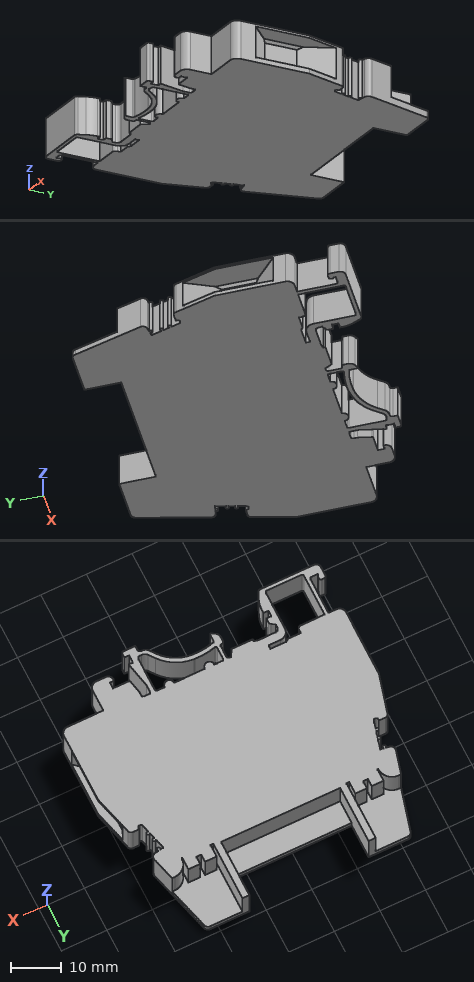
import cadquery as cq
import math

WIDTH = 61.5
LENGTH = 57.7
THICKNESS = 8.2
PLATE_THICKNESS = 1.5

HALF_WIDTH = WIDTH / 2
FLANK_SLOPE = math.tan(math.radians(15))

BODY_BOTTOM = 10.45
RIGHT_BOTTOM = 9.6
KNEE_Y = 26.35
SHOULDER_Y = 35.5
HEAD_BOTTOM = 41.1
HEAD_LIP_Y = 41.6
BODY_TOP = 45.05
STRIP_TOP = 50.2

BOTTOM_STEP_X = 14.0
BODY_CORNER_RADIUS = 1.5

WALL_INNER = 13.05
WALL_OUTER = 14.6
RECESS_BOTTOM = 44.7
TOOTH_TOP = 47.45
TOOTH_NOTCH_BOTTOM = 45.75
TOOTH_FACES = (15.2, 17.75, 18.8, 21.4)
HORN_FACE = 21.55
HORN_TOP = 47.75
HORN_RADIUS = 3.0
EAR_TOP_X = 22.45
EAR_RADIUS = 1.0
HEAD_LIP_RADIUS = 1.0

GROOVE_TOP_X = 23.75
GROOVE_BOTTOM_Y = 34.8
GROOVE_RADIUS = 0.3
SHOULDER_INNER_X = 26.25
SHOULDER_RADIUS = 0.8
BEAD_RADIUS = 0.35
BEAD_CENTRES = ((24.75, 41.0), (24.65, 38.8), (25.1, 37.05))

FOOT_ROOT = 12.8
POST_ROOT_RADIUS = 0.45
EDGE_RADIUS = 0.2

LEFT_POST_OUTER_X = -27.55
LEFT_HOOK_X = -30.55
LEFT_HOOK_TIP_X = -29.1
LEFT_HOOK_NECK_X = -29.3
LEFT_HOOK_TOP_Y = 3.5
LEFT_HOOK_SEAT_Y = 2.1
LEFT_HOOK_SEAT_RADIUS = 0.35
LEFT_HOOK_NECK_TOP_Y = 2.45
LEFT_HOOK_TIP_Y = 2.75
LEFT_HOOK_TIP_RADIUS = 0.4
LEFT_HOOK_BACK_RADIUS = 0.5
LEFT_HOOK_HEEL_RADIUS = 1.1
CATCH_FACE_X = -16.05
CATCH_GROOVE_X = -17.15
CATCH_GROOVE_Y = (4.85, 6.15)
CATCH_TOE_X = -17.3
CATCH_TOE_RADIUS = 0.7
CATCH_RAMP_TOP_Y = 3.0
CATCH_RAMP_RADIUS = 6.0
CATCH_NOSE_Y = 7.4
CATCH_NOSE_TOP_Y = 8.15
CATCH_NOSE_RADIUS = 0.6
PAD_ROOT_RADIUS = 0.8
PAD_LEFT_Y = 9.6
PAD_RIGHT_Y = 8.95
PAD_STEP_X = -11.7
PAD_STEP_TOP_Y = 9.35
PAD_BEND_X = -12.3
PAD_BEND_RADIUS = 2.0
PAD_RAMP_X = -7.0
PAD_END_X = -6.2
WINDOW_LEFT_X = -26.7
WINDOW_RIGHT_X = -18.4
WINDOW_FLOOR_Y = 0.85
WINDOW_CORNER_RADIUS = 0.3
SLOT_END_X = -13.9
SLOT_Y = (11.5, 12.35)
SLOT_WIDE_TOP_Y = 11.9
SLOT_WIDE_LEFT_X = -20.75
SLOT_TAPER_X = (-17.9, -17.35)
SLOT_BEND_RADIUS = 1.9
SLOT_MOUTH_RADIUS = 0.7

CLIP_LEFT_POST_X = (-5.4, -4.6)
CLIP_RIGHT_POST_X = (10.35, 11.4)
CLIP_ROOT_X = (-6.0, 12.3)
CLIP_FOOT_X = (9.65, 12.7)
CLIP_FOOT_GROOVE_X = 11.65
ARCH_FOOT_Y = 1.5
CLIP_FOOT_GROOVE_Y = (1.3, 3.0)
CLIP_FOOT_ROOT_RADIUS = 0.5
CLIP_TOE_RADIUS = 0.45
CLIP_RIGHT_FACE_X = 12.6
CLIP_TAPER_TOP_Y = 8.5
CLIP_WINDOW_BOTTOM_Y = 2.4
CLIP_WINDOW_BOTTOM_RADIUS = 0.4
LOBE_LEFT_X = -6.27
LOBE_SHOULDER_Y = 7.3
LOBE_TOP_Y = 7.0
LOBE_TOP_RADIUS = 0.3
LOBE_BELLY_Y = 5.0
LOBE_BELLY_RADIUS = 1.3
LOBE_TIP_X = -4.75
LOBE_TIP_Y = 4.15
LOBE_TIP_FACE_Y = 4.4
ARCH_LEFT_X = -1.9
ARCH_LEFT_RADIUS = 14.0
ARCH_INNER_RADIUS = 8.4
ARCH_OUTER_RADIUS = 9.2
ARCH_START_RADIUS = 0.3
ARCH_INNER_START_Y = 6.07
ARCH_INNER_LEFT_Y = 6.8
ARCH_INNER_CROWN = (4.32, 6.36)
ARCH_INNER_FOOT_X = 8.1
ARCH_INNER_FOOT_RADIUS = 1.6
ARCH_OUTER_START_Y = 7.1
ARCH_OUTER_LEFT_Y = 7.83
ARCH_OUTER_CROWN = (4.78, 7.37)
ARCH_OUTER_FOOT = (8.75, 2.2)
ARCH_OUTER_FOOT_RADIUS = 1.3
BUMP_XS = (-1.5, 7.3)
BUMP_RADIUS = 1.05

HOOK_ROOT_X = 12.7
HOOK_LEFT_X = 13.3
HOOK_TAPER_TOP_Y = 9.2
HOOK_TAPER_BOTTOM_X = 13.95
HOOK_SEAT_RADIUS = 0.3
HOOK_RIGHT_X = 21.4
HOOK_BOTTOM_Y = 3.4
HOOK_LIP_TOP_Y = 4.85
HOOK_LIP_X = 16.65
HOOK_SEAT_X = 17.6
HOOK_SEAT_Y = 6.2
HOOK_LIP_RADIUS = 1.2
HOOK_HEEL_RADIUS = 1.5

FUNNEL_MOUTH_Y = (14.45, 33.4)
FUNNEL_FLOOR_Y = (19.2, KNEE_Y)
FUNNEL_MOUTH_Z = (1.05, 7.65)
FUNNEL_FLOOR_Z = (2.75, 7.0)
FUNNEL_FLOOR_X = 25.7
FUNNEL_RAMP_X = 28.0
FUNNEL_ROOF_X = 26.2


def rounded_outline(corners, height=THICKNESS):
    """Extrude an outline of (x, y) or rounded (x, y, radius) corners up from Z = 0."""
    stretches = []
    count = len(corners)
    for i, corner in enumerate(corners):
        here = cq.Vector(corner[0], corner[1])
        if len(corner) == 2:
            stretches.append((here,))
            continue
        radius = corner[2]
        before = cq.Vector(*corners[i - 1][:2])
        after = cq.Vector(*corners[(i + 1) % count][:2])
        to_before = (before - here).normalized()
        to_after = (after - here).normalized()
        half_angle = to_before.getAngle(to_after) / 2
        tangent_length = radius / math.tan(half_angle)
        bisector = (to_before + to_after).normalized()
        middle = here + bisector * (radius / math.sin(half_angle) - radius)
        stretches.append((here + to_before * tangent_length, middle, here + to_after * tangent_length))
    path = cq.Workplane("XY").moveTo(stretches[0][-1].x, stretches[0][-1].y)
    for stretch in stretches[1:] + stretches[:1]:
        path = path.lineTo(stretch[0].x, stretch[0].y)
        if len(stretch) == 3:
            path = path.threePointArc(stretch[1].toTuple()[:2], stretch[2].toTuple()[:2])
    return path.close().extrude(height)


def mirrored(corners):
    """Reflect corners to the other side of the YZ plane, in reverse order."""
    return [(-corner[0], *corner[1:]) for corner in reversed(corners)]


def head_flank_x(y):
    """Half width of the sloping head at height y."""
    return EAR_TOP_X + (LENGTH - y) * FLANK_SLOPE


def body_flank_x(y):
    """Half width of the sloping body above the knee at height y."""
    return HALF_WIDTH - (y - KNEE_Y) * FLANK_SLOPE


def groove_x(y):
    """Half width of the sloping groove floor at height y."""
    return GROOVE_TOP_X + (HEAD_BOTTOM - y) * FLANK_SLOPE


def housing_sides():
    """Corners of one side of the housing, from the head down to the knee."""
    return [
        (head_flank_x(HEAD_LIP_Y), HEAD_LIP_Y, HEAD_LIP_RADIUS),
        (GROOVE_TOP_X, HEAD_BOTTOM),
        (groove_x(GROOVE_BOTTOM_Y), GROOVE_BOTTOM_Y, GROOVE_RADIUS),
        (SHOULDER_INNER_X, GROOVE_BOTTOM_Y, GROOVE_RADIUS),
        (SHOULDER_INNER_X, SHOULDER_Y),
        (body_flank_x(SHOULDER_Y), SHOULDER_Y, SHOULDER_RADIUS),
        (HALF_WIDTH, KNEE_Y),
    ]


def housing(head_side, height):
    """Housing outline whose head follows head_side on both sides."""
    side = head_side + housing_sides()
    bottom = [
        (HALF_WIDTH, RIGHT_BOTTOM, BODY_CORNER_RADIUS),
        (BOTTOM_STEP_X, RIGHT_BOTTOM),
        (BOTTOM_STEP_X, BODY_BOTTOM),
        (-HALF_WIDTH, BODY_BOTTOM, BODY_CORNER_RADIUS),
    ]
    return rounded_outline(side + bottom + mirrored(side), height)


def base_plate():
    """Thin plate with the two ears and the strip between them."""
    head = [
        (WALL_INNER, STRIP_TOP),
        (WALL_INNER, LENGTH),
        (EAR_TOP_X, LENGTH, EAR_RADIUS),
    ]
    return housing(head, PLATE_THICKNESS)


def body():
    """Full-height housing with upright walls, latch teeth and rounded horns."""
    head = [
        (WALL_INNER, BODY_TOP),
        (WALL_INNER, LENGTH),
        (WALL_OUTER, LENGTH),
        (WALL_OUTER, RECESS_BOTTOM),
        (TOOTH_FACES[0], RECESS_BOTTOM),
        (TOOTH_FACES[0], TOOTH_TOP),
        (TOOTH_FACES[1], TOOTH_TOP),
        (TOOTH_FACES[1], TOOTH_NOTCH_BOTTOM),
        (TOOTH_FACES[2], TOOTH_NOTCH_BOTTOM),
        (TOOTH_FACES[2], TOOTH_TOP),
        (TOOTH_FACES[3], TOOTH_TOP),
        (TOOTH_FACES[3], RECESS_BOTTOM),
        (HORN_FACE, RECESS_BOTTOM),
        (HORN_FACE, HORN_TOP, HORN_RADIUS),
        (head_flank_x(HORN_TOP), HORN_TOP),
    ]
    return housing(head, THICKNESS)


def flank_beads():
    """Small round beads along both grooved flanks."""
    centres = [(side * x, y) for side in (-1, 1) for x, y in BEAD_CENTRES]
    return cq.Workplane("XY").pushPoints(centres).circle(BEAD_RADIUS).extrude(THICKNESS)


def funnel():
    """Tapered conductor entry in the +X flank: its plan shape crossed with its side shape."""
    mouth_low, mouth_high = FUNNEL_MOUTH_Y
    floor_low, floor_high = FUNNEL_FLOOR_Y
    mouth_bottom, mouth_roof = FUNNEL_MOUTH_Z
    floor_bottom, floor_roof = FUNNEL_FLOOR_Z
    plan = rounded_outline(
        [
            (HALF_WIDTH, mouth_low),
            (FUNNEL_FLOOR_X, floor_low),
            (FUNNEL_FLOOR_X, floor_high),
            (body_flank_x(mouth_high), mouth_high),
            (HALF_WIDTH, mouth_high),
        ]
    )
    section = (
        cq.Workplane("XZ")
        .polyline(
            [
                (HALF_WIDTH, mouth_bottom),
                (FUNNEL_RAMP_X, mouth_bottom),
                (FUNNEL_FLOOR_X, floor_bottom),
                (FUNNEL_FLOOR_X, floor_roof),
                (FUNNEL_ROOF_X, mouth_roof),
                (HALF_WIDTH, mouth_roof),
            ]
        )
        .close()
        .extrude(-LENGTH)
    )
    return plan.intersect(section)


def left_foot():
    """Hooked spring foot with its catch, and the pad beside it."""
    return rounded_outline(
        [
            (LEFT_POST_OUTER_X, FOOT_ROOT),
            (LEFT_POST_OUTER_X, LEFT_HOOK_SEAT_Y, LEFT_HOOK_SEAT_RADIUS),
            (LEFT_HOOK_NECK_X, LEFT_HOOK_SEAT_Y),
            (LEFT_HOOK_NECK_X, LEFT_HOOK_NECK_TOP_Y),
            (LEFT_HOOK_TIP_X, LEFT_HOOK_TIP_Y, EDGE_RADIUS),
            (LEFT_HOOK_TIP_X, LEFT_HOOK_TOP_Y, LEFT_HOOK_TIP_RADIUS),
            (LEFT_HOOK_X, LEFT_HOOK_TOP_Y, LEFT_HOOK_BACK_RADIUS),
            (LEFT_HOOK_X, 0, LEFT_HOOK_HEEL_RADIUS),
            (CATCH_TOE_X, 0, CATCH_TOE_RADIUS),
            (CATCH_FACE_X, CATCH_RAMP_TOP_Y, CATCH_RAMP_RADIUS),
            (CATCH_FACE_X, CATCH_GROOVE_Y[0]),
            (CATCH_GROOVE_X, CATCH_GROOVE_Y[0]),
            (CATCH_GROOVE_X, CATCH_GROOVE_Y[1]),
            (CATCH_FACE_X, CATCH_GROOVE_Y[1]),
            (CATCH_FACE_X, CATCH_NOSE_Y, CATCH_NOSE_RADIUS),
            (CATCH_GROOVE_X, CATCH_NOSE_TOP_Y),
            (CATCH_GROOVE_X, PAD_LEFT_Y, PAD_ROOT_RADIUS),
            (PAD_BEND_X, PAD_LEFT_Y, PAD_BEND_RADIUS),
            (PAD_STEP_X, PAD_STEP_TOP_Y),
            (PAD_STEP_X, PAD_RIGHT_Y),
            (PAD_RAMP_X, PAD_RIGHT_Y),
            (PAD_END_X, BODY_BOTTOM),
            (PAD_END_X, FOOT_ROOT),
        ]
    )


def left_foot_window():
    """Opening inside the left foot, with the spring slot that runs on into the housing."""
    return rounded_outline(
        [
            (WINDOW_LEFT_X, BODY_BOTTOM),
            (WINDOW_LEFT_X, WINDOW_FLOOR_Y, WINDOW_CORNER_RADIUS),
            (WINDOW_RIGHT_X, WINDOW_FLOOR_Y, WINDOW_CORNER_RADIUS),
            (WINDOW_RIGHT_X, SLOT_Y[0], SLOT_BEND_RADIUS),
            (SLOT_END_X, SLOT_Y[0]),
            (SLOT_END_X, SLOT_Y[1]),
            (SLOT_TAPER_X[1], SLOT_Y[1]),
            (SLOT_TAPER_X[0], SLOT_WIDE_TOP_Y),
            (SLOT_WIDE_LEFT_X, SLOT_WIDE_TOP_Y),
            (SLOT_WIDE_LEFT_X, BODY_BOTTOM, SLOT_MOUTH_RADIUS),
        ]
    )


def rail_clip():
    """Rail clip: two posts joined by an arched spring."""
    return rounded_outline(
        [
            (CLIP_ROOT_X[0], FOOT_ROOT),
            (CLIP_ROOT_X[0], BODY_BOTTOM),
            (CLIP_LEFT_POST_X[0], BODY_BOTTOM, POST_ROOT_RADIUS),
            (CLIP_LEFT_POST_X[0], LOBE_SHOULDER_Y),
            (LOBE_LEFT_X, LOBE_TOP_Y, LOBE_TOP_RADIUS),
            (LOBE_LEFT_X, LOBE_BELLY_Y, LOBE_BELLY_RADIUS),
            (LOBE_TIP_X, LOBE_TIP_Y, EDGE_RADIUS),
            (CLIP_LEFT_POST_X[1], LOBE_TIP_FACE_Y),
            (CLIP_LEFT_POST_X[1], ARCH_INNER_START_Y, ARCH_START_RADIUS),
            (ARCH_LEFT_X, ARCH_INNER_LEFT_Y, ARCH_LEFT_RADIUS),
            (*ARCH_INNER_CROWN, ARCH_INNER_RADIUS),
            (ARCH_INNER_FOOT_X, ARCH_FOOT_Y, ARCH_INNER_FOOT_RADIUS),
            (CLIP_FOOT_X[0], ARCH_FOOT_Y, CLIP_FOOT_ROOT_RADIUS),
            (CLIP_FOOT_X[0], 0),
            (CLIP_FOOT_X[1], 0, CLIP_TOE_RADIUS),
            (CLIP_FOOT_X[1], CLIP_FOOT_GROOVE_Y[0]),
            (CLIP_FOOT_GROOVE_X, CLIP_FOOT_GROOVE_Y[0]),
            (CLIP_FOOT_GROOVE_X, CLIP_FOOT_GROOVE_Y[1]),
            (CLIP_RIGHT_FACE_X, CLIP_FOOT_GROOVE_Y[1]),
            (CLIP_RIGHT_POST_X[1], CLIP_TAPER_TOP_Y),
            (CLIP_RIGHT_POST_X[1], BODY_BOTTOM, POST_ROOT_RADIUS),
            (CLIP_ROOT_X[1], BODY_BOTTOM),
            (CLIP_ROOT_X[1], FOOT_ROOT),
        ]
    )


def rail_clip_window():
    """Opening between the clip's arched spring and the housing."""
    return rounded_outline(
        [
            (CLIP_LEFT_POST_X[1], BODY_BOTTOM, WINDOW_CORNER_RADIUS),
            (CLIP_LEFT_POST_X[1], ARCH_OUTER_START_Y, ARCH_START_RADIUS),
            (ARCH_LEFT_X, ARCH_OUTER_LEFT_Y, ARCH_LEFT_RADIUS),
            (*ARCH_OUTER_CROWN, ARCH_OUTER_RADIUS),
            (*ARCH_OUTER_FOOT, ARCH_OUTER_FOOT_RADIUS),
            (CLIP_RIGHT_POST_X[0], CLIP_WINDOW_BOTTOM_Y, CLIP_WINDOW_BOTTOM_RADIUS),
            (CLIP_RIGHT_POST_X[0], BODY_BOTTOM, WINDOW_CORNER_RADIUS),
        ]
    )


def clip_bumps():
    """Round stops for the clip spring."""
    centres = [(x, BODY_BOTTOM) for x in BUMP_XS]
    return cq.Workplane("XY").pushPoints(centres).circle(BUMP_RADIUS).extrude(THICKNESS)


def right_foot():
    """Fixed rail hook."""
    return rounded_outline(
        [
            (HOOK_ROOT_X, FOOT_ROOT),
            (HOOK_ROOT_X, BODY_BOTTOM),
            (HOOK_LEFT_X, BODY_BOTTOM, POST_ROOT_RADIUS),
            (HOOK_LEFT_X, HOOK_TAPER_TOP_Y),
            (HOOK_TAPER_BOTTOM_X, HOOK_SEAT_Y, HOOK_SEAT_RADIUS),
            (HOOK_SEAT_X, HOOK_SEAT_Y),
            (HOOK_SEAT_X, HOOK_LIP_TOP_Y),
            (HOOK_LIP_X, HOOK_LIP_TOP_Y, EDGE_RADIUS),
            (HOOK_LIP_X, HOOK_BOTTOM_Y, HOOK_LIP_RADIUS),
            (HOOK_RIGHT_X, HOOK_BOTTOM_Y, HOOK_HEEL_RADIUS),
            (HOOK_RIGHT_X, FOOT_ROOT),
        ]
    )


result = body().union(base_plate()).union(flank_beads())
result = result.union(left_foot()).cut(left_foot_window())
result = result.union(rail_clip()).cut(rail_clip_window()).union(clip_bumps())
result = result.union(right_foot())
right_funnel = funnel()
result = result.cut(right_funnel).cut(right_funnel.mirror("YZ"))